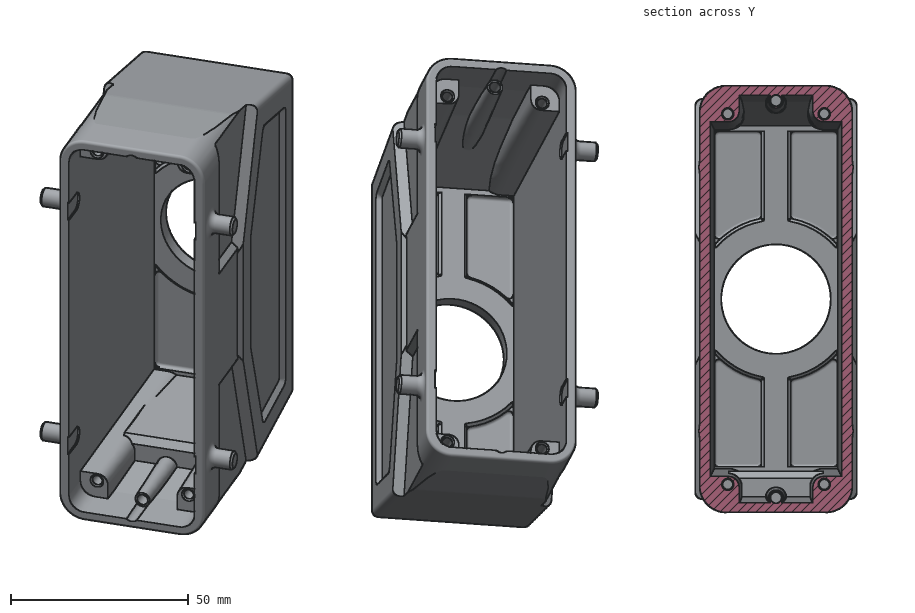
import cadquery as cq
import math


height = 120.0
length = 76.0
front_width = 43.0
rear_width = 45.5
corner_radius = 7.5
rear_edge_radius = 2.0
rim_fillet = 0.8
straight_end = 11.4
slope_break = 32.4
front_slope = 5.0
rear_slope = 10.0
slope_blend_radius = 12.0

pocket_depth = 1.8
cheek_front_y = 30.7
cheek_front_half_z = 18.5
cheek_top_y = 43.8
cheek_top_half_z = 56.2
cheek_slope_run = 1.5
rear_start_y = 54.0
pocket_front_y = 13.2
pocket_half_z = 17.5

panel_depth = 1.5
panel_run = 1.7
panel_corner_radius = 2.2
panel_front = (37.2, 17.2)
panel_middle = (48.4, 47.3)
panel_rear = (68.2, 43.8)

cavity_width = 37.2
cavity_corner_radius = 4.5
cavity_draft = 1.0
end_wall = 2.6
cavity_floor_y = 71.2
entry_diameter = 30.7
floor_pocket_depth = 1.8
floor_pocket_corner_radius = 1.2
floor_pocket_fillet = 0.8
floor_pocket_half_x = 17.3
floor_pocket_half_z = 47.2
floor_web_width = 8.2
entry_ring_radius = 23.0

boss_face_y = 9.6
boss_inner_x = 10.3
boss_inner_z = 49.8
boss_fillet = 3.0
boss_draft = 2.0
screw_x = 13.5
screw_z = 52.1
screw_diameter = 2.9
screw_depth = 14.4
screw_chamfer = 0.5

post_z = 55.8
post_radius = 2.2
post_draft = 2.0
post_hole_diameter = 3.1

block_face_y = 31.2
block_top_z = 48.4
block_chamfer = 2.0

pin_span = 57.0
pin_diameter = 5.4
pin_y = 6.2
pin_z = 37.1
pin_root_radius = 1.9
pin_chamfer = 0.6
pin_inner_x = 19.0

half_height = height / 2
front_half = front_width / 2
rear_half = rear_width / 2
pocket_floor_x = front_half - pocket_depth
margin = 12.0


def end_wall_z(y, inset):
    """Height of the sloped end wall at depth y, moved inwards by inset."""
    drop = 0.0
    if y > straight_end:
        drop += (min(y, slope_break) - straight_end) * math.tan(math.radians(front_slope))
    if y > slope_break:
        drop += (y - slope_break) * math.tan(math.radians(rear_slope))
    return half_height - inset - drop


def mirror_in_z(points):
    """Close a +Z half outline with its mirror image below z = 0."""
    return points + [(y, -z) for y, z in reversed(points)]


def both_sides(solid):
    """The solid and its mirror image on the -X side."""
    return solid.union(solid.mirror("YZ"))


def side_profile(end_y, inset, half_width):
    """Solid with the tapered side outline, spanning the given half width."""
    blend_run = slope_blend_radius * math.tan(math.radians((rear_slope - front_slope) / 2))
    blend_start = slope_break - blend_run * math.cos(math.radians(front_slope))
    blend_end = slope_break + blend_run * math.cos(math.radians(rear_slope))
    return (
        cq.Workplane("YZ", origin=(-half_width, 0, 0))
        .lineTo(0.0, end_wall_z(0.0, inset))
        .lineTo(straight_end, end_wall_z(straight_end, inset))
        .lineTo(blend_start, end_wall_z(blend_start, inset))
        .tangentArcPoint((blend_end, end_wall_z(blend_end, inset)), relative=False)
        .lineTo(end_y, end_wall_z(end_y, inset))
        .lineTo(end_y, 0.0)
        .mirrorX()
        .extrude(2 * half_width)
    )


def tube(width, tall, radius, depth, draft=0.0):
    """Rounded rectangle in XZ, running from y = 0 to +Y."""
    outline = cq.Sketch().rect(width, tall).vertices().fillet(radius)
    return cq.Workplane("XZ").placeSketch(outline).extrude(-depth, taper=draft)


def front_body():
    shell = tube(front_width, height, corner_radius, rear_start_y)
    shell = shell.faces("<Y").edges().fillet(rim_fillet)
    return shell.intersect(side_profile(length, 0.0, rear_half))


def corner_pocket(side_z):
    """Recess on the +X side behind the rim, above or below the middle."""
    size_y = cheek_top_y + margin - pocket_front_y
    size_z = half_height + margin - pocket_half_z
    middle_y = pocket_front_y + size_y / 2
    middle_z = side_z * (pocket_half_z + size_z / 2)
    return (
        cq.Workplane("YZ", origin=(front_half, middle_y, middle_z))
        .rect(size_y, size_z)
        .extrude(-pocket_depth, taper=45)
    )


def cheek_outline(grow_front, grow_diagonal):
    """Cheek boundary with its front edge and its diagonals moved outwards."""
    run_y = cheek_top_y - cheek_front_y
    run_z = cheek_top_half_z - cheek_front_half_z
    front_y = cheek_front_y - grow_front
    diagonal_shift = grow_diagonal * math.hypot(run_y, run_z) / run_z
    front_z = cheek_front_half_z + (diagonal_shift - grow_front) * run_z / run_y
    reach_z = half_height + margin
    reach_y = cheek_front_y - diagonal_shift + (reach_z - cheek_front_half_z) * run_y / run_z
    return mirror_in_z([(front_y, front_z), (reach_y, reach_z), (length + margin, reach_z)])


def cheek_zone():
    """Volume of one cheek, widening from its outer face to the pocket floor."""
    step = rear_half - front_half
    front_run = cheek_slope_run * (rear_half - pocket_floor_x) / step
    return (
        cq.Workplane("YZ", origin=(rear_half, 0, 0))
        .polyline(cheek_outline(0.0, 0.0)).close()
        .workplane(offset=pocket_floor_x - rear_half)
        .polyline(cheek_outline(front_run, cheek_slope_run)).close()
        .loft(ruled=True, combine=True)
    )


def rear_body():
    block = side_profile(length, 0.0, rear_half)
    return block.faces(">Y or >X or <X").edges().fillet(rear_edge_radius)


def panel_recess():
    corners = mirror_in_z([panel_front, panel_middle, panel_rear])
    outline = cq.Sketch().polygon(corners + corners[:1]).vertices().fillet(panel_corner_radius)
    angle = math.degrees(math.atan2(panel_run, panel_depth))
    return (
        cq.Workplane("YZ", origin=(rear_half, 0, 0))
        .placeSketch(outline)
        .extrude(-panel_depth, taper=angle)
    )


def outer_body():
    front = front_body()
    for side_z in (-1, 1):
        front = front.cut(both_sides(corner_pocket(side_z)))
    rear_zone = (
        cq.Workplane("XZ", origin=(0, rear_start_y, 0))
        .rect(rear_width, height).extrude(rear_start_y - length)
        .union(both_sides(cheek_zone()))
    )
    return front.union(rear_body().intersect(rear_zone)).cut(both_sides(panel_recess()))


def cavity():
    opening_height = 2 * end_wall_z(0.0, end_wall)
    bore = tube(cavity_width, opening_height, cavity_corner_radius, cavity_floor_y, cavity_draft)
    return bore.intersect(side_profile(cavity_floor_y, end_wall, front_half))


def floor_pocket():
    """Pocket in the cavity floor at +X, +Z, bounded by the middle rib and the entry ring."""
    outer_x = floor_pocket_half_x
    inner_x = floor_web_width / 2
    middle_x = (inner_x + outer_x) / 2

    def on_ring(x):
        return (x, math.sqrt(entry_ring_radius**2 - x**2))

    outline = (
        cq.Workplane("XZ", origin=(0, cavity_floor_y, 0))
        .moveTo(*on_ring(outer_x))
        .threePointArc(on_ring(middle_x), on_ring(inner_x))
        .lineTo(inner_x, floor_pocket_half_z)
        .lineTo(outer_x, floor_pocket_half_z)
        .close()
    )
    flare = outline.offset2D(floor_pocket_fillet).extrude(-floor_pocket_fillet, taper=45)
    walls = cq.Workplane("XY").box(2 * outer_x, 2 * length, 2 * floor_pocket_half_z)
    pocket = (
        outline.toPending()
        .extrude(-floor_pocket_depth)
        .edges("|Y").fillet(floor_pocket_corner_radius)
        .faces(">Y").edges().fillet(floor_pocket_fillet)
    )
    return pocket.union(flare.intersect(walls))


def screw_boss():
    """Square corner boss at +X, +Z with a rounded inner edge, thickening towards the floor."""
    size_x = front_half - boss_inner_x
    size_z = half_height - boss_inner_z
    outline = (
        cq.Sketch().rect(size_x, size_z)
        .vertices("<X and <Y").fillet(boss_fillet)
    )
    return (
        cq.Workplane("XZ", origin=(boss_inner_x + size_x / 2, boss_face_y, boss_inner_z + size_z / 2))
        .placeSketch(outline)
        .extrude(boss_face_y - length, taper=-boss_draft)
    )


def screw_hole():
    """Blind hole with a chamfered mouth in the boss at +X, +Z."""
    radius = screw_diameter / 2
    face = cq.Workplane("XZ", origin=(screw_x, boss_face_y, screw_z))
    bore = face.circle(radius).extrude(-screw_depth)
    mouth = face.circle(radius + screw_chamfer).extrude(-screw_chamfer, taper=45)
    return bore.union(mouth)


def post(side_z):
    """Slim round post in the middle of an end wall."""
    face = cq.Workplane("XZ", origin=(0, boss_face_y, side_z * post_z))
    return face.circle(post_radius).extrude(boss_face_y - length, taper=-post_draft)


def post_hole(side_z):
    """Bore in the post and the shallow groove from the rim to the post face."""
    face = cq.Workplane("XZ", origin=(0, boss_face_y, side_z * post_z))
    groove = face.circle(post_radius).extrude(boss_face_y)
    return face.circle(post_hole_diameter / 2).extrude(-screw_depth).union(groove)


def lower_block():
    """Filling between the two lower bosses at the closed end."""
    points = [
        (block_face_y, -half_height),
        (block_face_y, -block_top_z - block_chamfer),
        (block_face_y + block_chamfer, -block_top_z),
        (length, -block_top_z),
        (length, -half_height),
    ]
    return cq.Workplane("YZ").polyline(points).close().extrude(boss_inner_x + boss_fillet, both=True)


def inner_fittings():
    """Bosses, posts and filling that stand in the cavity."""
    fittings = lower_block()
    upper_bosses = both_sides(screw_boss())
    fittings = fittings.union(upper_bosses).union(upper_bosses.mirror("XY"))
    for side_z in (-1, 1):
        fittings = fittings.union(post(side_z))
    return fittings


def pin(z):
    """Locking pin on the +X side with a flared root."""
    radius = pin_diameter / 2
    tip = pin_span / 2
    return (
        cq.Workplane("XY", origin=(0, pin_y, z))
        .moveTo(pin_inner_x, 0)
        .lineTo(pin_inner_x, radius)
        .lineTo(front_half - pin_root_radius, radius)
        .lineTo(front_half - pin_root_radius, radius + pin_root_radius)
        .lineTo(front_half, radius + pin_root_radius)
        .radiusArc((front_half + pin_root_radius, radius), -pin_root_radius)
        .lineTo(tip - pin_chamfer, radius)
        .lineTo(tip, radius - pin_chamfer)
        .lineTo(tip, 0)
        .close()
        .revolve(360, (0, 0, 0), (1, 0, 0))
    )


def pin_slot(z):
    """Shallow round-ended slot from the rim to the inner end of a pin."""
    slot = cq.Workplane("YZ", origin=(0, pin_y, z)).circle(pin_diameter / 2).extrude(pin_inner_x)
    run = cq.Workplane("YZ", origin=(0, pin_y / 2, z)).rect(pin_y, pin_diameter).extrude(pin_inner_x)
    return slot.union(run)


floor_pockets = both_sides(floor_pocket())
floor_pockets = floor_pockets.union(floor_pockets.mirror("XY"))
hollow = cavity().cut(inner_fittings()).union(floor_pockets)

result = outer_body().cut(hollow)
result = result.cut(cq.Workplane("XZ").circle(entry_diameter / 2).extrude(-length))

upper_holes = both_sides(screw_hole())
result = result.cut(upper_holes).cut(upper_holes.mirror("XY"))
for side in (-1, 1):
    result = result.cut(post_hole(side))
    result = result.cut(both_sides(pin_slot(side * pin_z)))
    result = result.union(both_sides(pin(side * pin_z)))